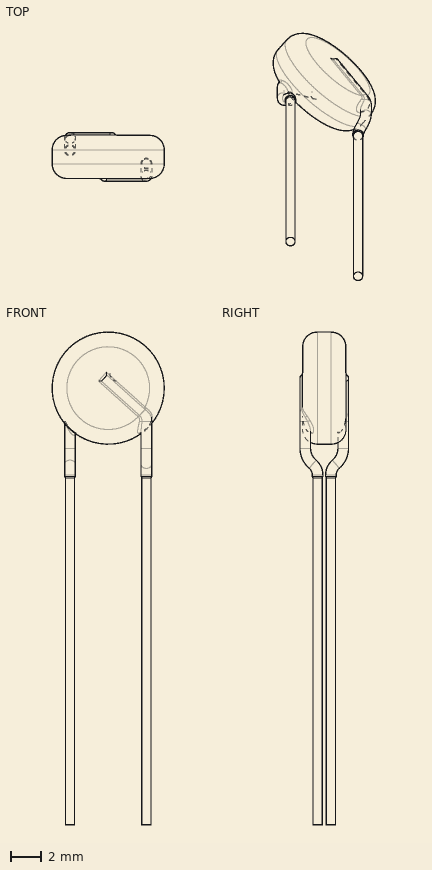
import cadquery as cq
import math

overall_height = 32.4
disc_diameter = 7.4
disc_thickness = 2.85
disc_edge_radius = 0.97
disc_center_z = overall_height - disc_diameter / 2

wire_diameter = 0.6
leg_pitch_x = 5.02
leg_pitch_y = 0.87

overall_depth = 3.2
coat_diameter = 0.7
coat_bottom_z = 22.8
kink_bottom_z = 23.0
kink_top_z = 24.75
kink_split = 0.4
coat_taper_height = 0.1
blend_radius = 0.15

face_bend_start_z = 26.5
face_bend_radius = 0.8
face_run_slope = 42.0
face_run_end_x = -0.25

seam_tolerance = 0.0003

leg_x = leg_pitch_x / 2
leg_y = -leg_pitch_y / 2
coat_y = -(overall_depth - coat_diameter) / 2


def make_disc():
    disc = cq.Workplane("XZ", origin=(0, 0, disc_center_z)).circle(disc_diameter / 2)
    return disc.extrude(disc_thickness / 2, both=True).edges().fillet(disc_edge_radius)


def coat_path():
    """Centre line of the front lead's coating: short stub, S-kink outwards, riser, bend, face run."""
    stub_end = cq.Vector(leg_x, leg_y, kink_bottom_z)
    riser_start = cq.Vector(leg_x, coat_y, kink_top_z)
    kink_chord = riser_start - stub_end
    kink_middle = stub_end + kink_chord * kink_split
    riser_end = cq.Vector(leg_x, coat_y, face_bend_start_z)

    turn = math.radians(90 - face_run_slope)
    run_start = cq.Vector(
        leg_x - face_bend_radius * (1 - math.cos(turn)),
        coat_y,
        face_bend_start_z + face_bend_radius * math.sin(turn),
    )
    run_rise = (run_start.x - face_run_end_x) * math.tan(math.radians(face_run_slope))
    run_end = cq.Vector(face_run_end_x, coat_y, run_start.z + run_rise)

    up = cq.Vector(0, 0, 1)
    kink_angle = 2 * math.atan2(kink_chord.y, kink_chord.z)
    kink_tangent = cq.Vector(0, math.sin(kink_angle), math.cos(kink_angle))

    return cq.Wire.assembleEdges([
        cq.Edge.makeLine(cq.Vector(leg_x, leg_y, coat_bottom_z), stub_end),
        cq.Edge.makeTangentArc(stub_end, up, kink_middle),
        cq.Edge.makeTangentArc(kink_middle, kink_tangent, riser_start),
        cq.Edge.makeLine(riser_start, riser_end),
        cq.Edge.makeTangentArc(riser_end, up, run_start),
        cq.Edge.makeLine(run_start, run_end),
    ])


def make_coat():
    profile = cq.Workplane("XY", origin=(leg_x, leg_y, coat_bottom_z)).circle(coat_diameter / 2)
    coat = profile.sweep(cq.Workplane(coat_path()))
    taper_inset = (coat_diameter - wire_diameter) / 2
    return coat.faces("<Z").chamfer(coat_taper_height, taper_inset)


def make_leg():
    profile = cq.Workplane("XY", origin=(leg_x, leg_y, 0)).circle(wire_diameter / 2)
    return profile.extrude(coat_bottom_z)


def half_turn(part):
    """The same part on the opposite face of the disc."""
    return part.rotate((0, 0, 0), (0, 0, 1), 180)


def lies_on(edge, part):
    """True when sample points along the edge all touch the surface of the part."""
    surface = part.val().Shells()[0]
    samples = [edge.positionAt(fraction) for fraction in (0.2, 0.5, 0.8)]
    points = [cq.Vertex.makeVertex(*sample.toTuple()) for sample in samples]
    return all(surface.distance(point) < seam_tolerance for point in points)


disc = make_disc()
coat = make_coat()
leg = make_leg()
coats = [coat, half_turn(coat)]

body = disc.union(coats[0]).union(coats[1])

for lead in coats:
    seam = body.edges().filter(lambda edge: lies_on(edge, disc) and lies_on(edge, lead))
    body = seam.fillet(blend_radius)

result = body.union(leg).union(half_turn(leg))